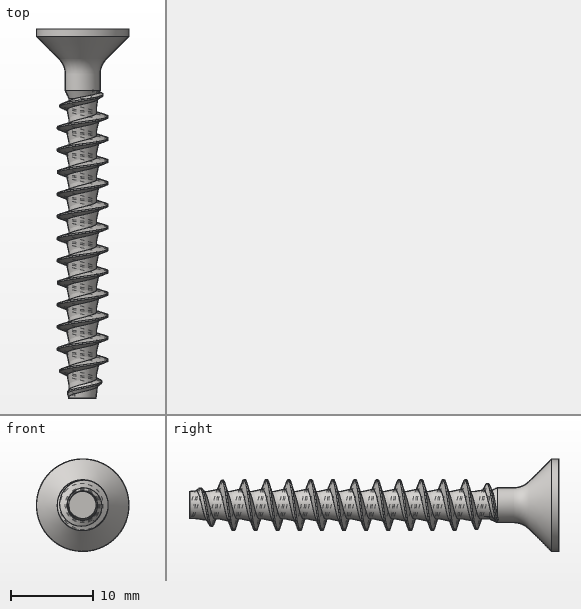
import cadquery as cq
import math


length = 45.0
head_diameter = 11.3
head_radius = head_diameter / 2
rim_depth = 0.9
head_cone_angle = math.radians(45)
neck_diameter = 4.28
neck_radius = neck_diameter / 2
neck_fillet_radius = 2.55
neck_end_depth = 7.5

core_diameter = 3.38
core_radius = core_diameter / 2
core_start_depth = 8.45
tip_radius = 1.6
tip_taper_depth = 43.65

first_crest_depth = 8.7
last_crest_depth = 43.7
turns_between_crests = 13
pitch = (last_crest_depth - first_crest_depth) / turns_between_crests

crest_radius = 3.1
crest_width = 0.2
root_width = 1.0
shoulder_height = 0.25
shoulder_run = 0.8 * pitch
burial = 0.1
thread_inner_radius = 1.35

thread_start_depth = 7.6
thread_start_radius = 2.4
full_start_depth = 10.65
full_end_depth = 40.8
thread_end_depth = 44.78
thread_end_radius = 1.7


def make_body():
    """Head, neck and core, revolved about the screw axis."""
    corner_depth = rim_depth + (head_radius - neck_radius) / math.tan(head_cone_angle)
    tangent_length = neck_fillet_radius * math.tan(head_cone_angle / 2)
    fillet_start_radius = neck_radius + tangent_length * math.sin(head_cone_angle)
    fillet_start_depth = corner_depth - tangent_length * math.cos(head_cone_angle)
    fillet_end_depth = corner_depth + tangent_length
    fillet_mid_radius = neck_radius + neck_fillet_radius * (1 - math.cos(head_cone_angle / 2))
    fillet_mid_depth = fillet_end_depth - neck_fillet_radius * math.sin(head_cone_angle / 2)
    return (
        cq.Workplane("XZ")
        .lineTo(head_radius, 0)
        .lineTo(head_radius, rim_depth)
        .lineTo(fillet_start_radius, fillet_start_depth)
        .threePointArc((fillet_mid_radius, fillet_mid_depth), (neck_radius, fillet_end_depth))
        .lineTo(neck_radius, neck_end_depth)
        .lineTo(core_radius, core_start_depth)
        .lineTo(core_radius, tip_taper_depth)
        .lineTo(tip_radius, length)
        .lineTo(0, length)
        .close()
        .revolve(360, (0, 0, 0), (0, 1, 0))
        .val()
    )


def thread_section(crest):
    """Corners (radius, axial offset) of the ridge and the sloping core shoulder behind it."""
    height_ratio = (crest - core_radius) / (crest_radius - core_radius)
    shoulder_radius = core_radius + shoulder_height * height_ratio
    foot_radius = core_radius - burial
    return [
        (thread_inner_radius, -root_width / 2),
        (foot_radius, -root_width / 2),
        (crest, -crest_width / 2),
        (crest, crest_width / 2),
        (shoulder_radius, root_width / 2),
        (foot_radius, shoulder_run),
        (thread_inner_radius, shoulder_run),
    ]


def corner_helix(start_corner, end_corner, rise):
    """Path of one section corner: a cylindrical helix, or a conical one where the radius changes."""
    start_radius, offset = start_corner
    end_radius = end_corner[0]
    if math.isclose(start_radius, end_radius):
        helix = cq.Wire.makeHelix(pitch, rise, start_radius)
    else:
        slope = math.atan((end_radius - start_radius) / rise)
        slant = 1 / math.cos(slope)
        helix = cq.Wire.makeHelix(pitch * slant, rise * slant, start_radius, angle=math.degrees(slope))
    return helix.translate(cq.Vector(0, 0, offset))


def section_face(section, rise):
    """Flat end face of a thread piece after it has climbed by the given rise."""
    corners = [cq.Vector(radius, 0, offset) for radius, offset in section]
    face = cq.Face.makeFromWires(cq.Wire.makePolygon(corners, close=True))
    turned = face.rotate(cq.Vector(0, 0, 0), cq.Vector(0, 0, 1), 360 * rise / pitch)
    return turned.translate(cq.Vector(0, 0, rise))


def thread_piece(start_depth, start_crest, end_depth, end_crest):
    """Solid piece of thread between two depths, with the crest radius changing evenly."""
    rise = end_depth - start_depth
    start_section = thread_section(start_crest)
    end_section = thread_section(end_crest)
    helices = [corner_helix(a, b, rise) for a, b in zip(start_section, end_section)]
    next_helices = helices[1:] + helices[:1]
    faces = [cq.Face.makeRuledSurface(a, b) for a, b in zip(helices, next_helices)]
    faces.append(section_face(start_section, 0))
    faces.append(section_face(end_section, rise))
    piece = cq.Solid.makeSolid(cq.Shell.makeShell(faces))
    crest_angle = 90
    start_angle = crest_angle + 360 * (start_depth - first_crest_depth) / pitch
    turned = piece.rotate(cq.Vector(0, 0, 0), cq.Vector(0, 0, 1), start_angle)
    return turned.translate(cq.Vector(0, 0, start_depth))


def thread_stretch(start_depth, start_crest, end_depth, end_crest):
    """Pieces of at most one turn each that cover a stretch of thread."""
    count = math.ceil((end_depth - start_depth) / pitch)
    depth_step = (end_depth - start_depth) / count
    crest_step = (end_crest - start_crest) / count
    pieces = []
    for i in range(count):
        depth = start_depth + i * depth_step
        crest = start_crest + i * crest_step
        pieces.append(thread_piece(depth, crest, depth + depth_step, crest + crest_step))
    return pieces


run_in = thread_stretch(thread_start_depth, thread_start_radius, full_start_depth, crest_radius)
full_thread = thread_stretch(full_start_depth, crest_radius, full_end_depth, crest_radius)
run_out = thread_stretch(full_end_depth, crest_radius, thread_end_depth, thread_end_radius)

screw = make_body().fuse(*run_in, *full_thread, *run_out)

beyond_tip = cq.Workplane().workplane(offset=length).circle(head_radius).extrude(pitch)
trimmed_screw = cq.Workplane(screw).cut(beyond_tip)

tip_turn = 90
result = trimmed_screw.rotate((0, 0, 0), (1, 0, 0), tip_turn).solids()